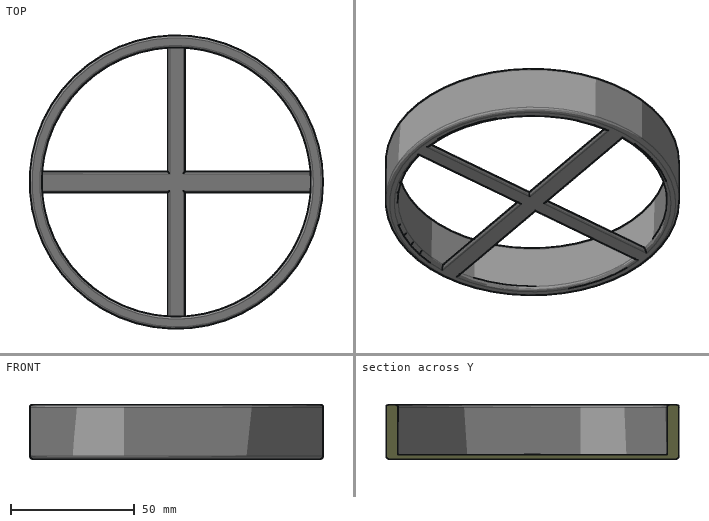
import cadquery as cq

outer_diameter = 118.5
inner_diameter = 108.5
height = 22.0
top_edge_radius = 1.0
bottom_edge_radius = 1.5

x_bar_width = 8.5
y_bar_width = 7.1
bar_thickness = 2.0
bar_edge_radius = 0.8

bar_length = (outer_diameter + inner_diameter) / 2


def make_ring():
    ring = cq.Workplane("XY").circle(outer_diameter / 2).circle(inner_diameter / 2).extrude(height)
    ring = ring.faces(">Z").edges().fillet(top_edge_radius)
    return ring.faces("<Z").edges().fillet(bottom_edge_radius)


def make_bar(size_x, size_y):
    return cq.Workplane("XY").box(size_x, size_y, bar_thickness, centered=(True, True, False))


def make_cross():
    cross = make_bar(bar_length, x_bar_width).union(make_bar(y_bar_width, bar_length))
    half_box = inner_diameter / 2
    inside_bore = cq.selectors.BoxSelector(
        (-half_box, -half_box, -bar_thickness),
        (half_box, half_box, 2 * bar_thickness),
    )
    return cross.faces(">Z or <Z").edges(inside_bore).fillet(bar_edge_radius)


result = make_ring().union(make_cross())